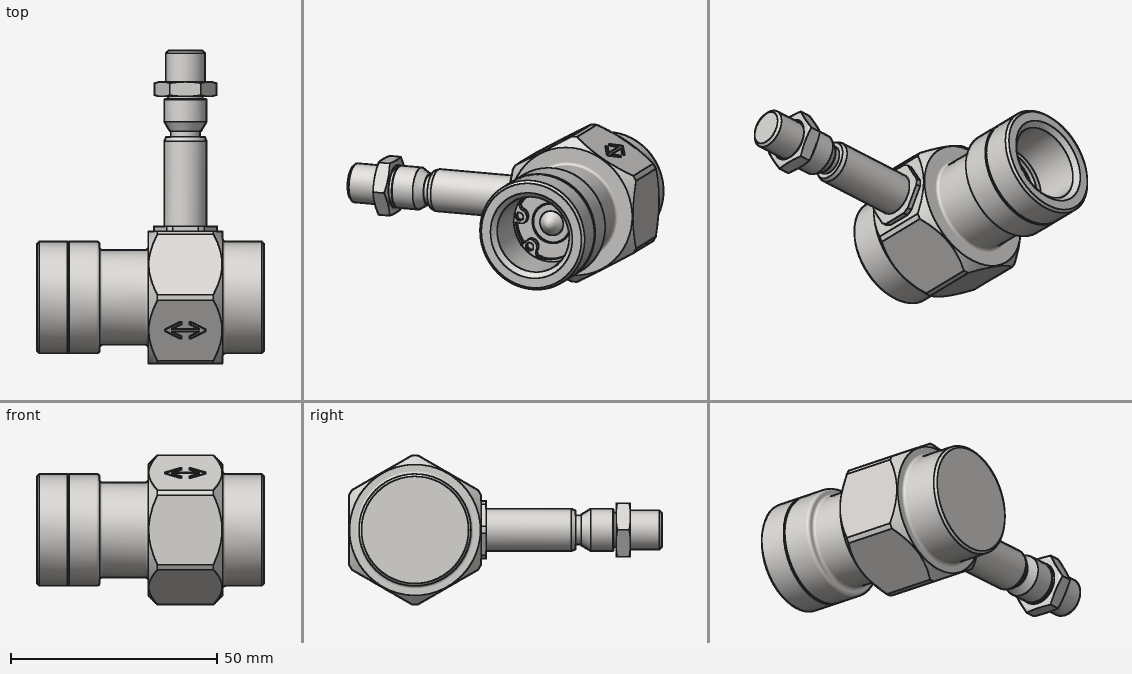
import cadquery as cq
import math


HEX_ACROSS_FLATS = 32.0
HEX_TRIM_DIAMETER = 36.2
HEX_LENGTH = 18.05
HEX_FACE_RADIUS = 15.85
COLLAR_RADIUS = 13.6
NECK_RADIUS = 11.5
MOUTH_END = -36.0
COLLAR_BACK = -20.8
BOSS_END = 19.05
END_CHAMFER = 0.6
COLLAR_ROUND = 0.75
ROOT_FILLET = 0.7
GROOVE_CENTRE = -28.4
GROOVE_DEPTH = 0.2

BORE_RADIUS = 9.3
MOUTH_RADIUS = 10.6
MOUTH_DEPTH = 1.2
SEAT_RADIUS = 8.95
SEAT_CHAMFER = BORE_RADIUS - SEAT_RADIUS

ARROW_HALF_LENGTH = 4.6
ARROW_STROKE = 0.7
ARROW_BARB_RUN = 3.4
ARROW_BARB_RISE = 2.0
ARROW_DEPTH = 0.2

RING_FRONT = -23.45
RING_THICKNESS = 1.2
RING_RADIUS = 9.9
RING_INNER_RADIUS = 8.6
RING_OFFSET = 0.7
RING_GAP_DIRECTION = -20.0
GAP_HALF_ANGLE = 20.0
LUG_ANGLE = 29.0
LUG_HOLE_PLACE = 8.0
LUG_HOLE_RADIUS = 1.0
LUG_RADIUS = 1.9
LUG_EDGE_DISTANCE = 1.6
LUG_FILLET = 1.15

DISC_THICKNESS = 4.55
POPPET_RADIUS = 4.8
DISC_HOLE_CHAMFER = 0.2
CONE_BASE_RADIUS = 3.0
CONE_TIP_RADIUS = 1.3
CONE_LENGTH = 1.75
DOME_HEIGHT = 0.5

LOCK_NUT_ACROSS_FLATS = 14.0
LOCK_NUT_TRIM_DIAMETER = 15.3
LOCK_NUT_THICKNESS = 1.2

NIPPLE_RADIUS = 5.15
NIPPLE_GROOVE_RADIUS = 3.6
NIPPLE_CONE_RADIUS = 3.8
NIPPLE_NECK_RADIUS = 4.25
NIPPLE_TIP_RADIUS = 4.8
BARREL_TOP = 38.9
BARREL_TAPER_LENGTH = 1.1
BARREL_TAPER_DEPTH = 0.45
CONE_BOTTOM = 40.3
SHOULDER_BOTTOM = 42.6
SHOULDER_TOP = 48.1
SHOULDER_CHAMFER = 0.2
TIP_CHAMFER = 0.7

TIP_NUT_BOTTOM = 48.7
TIP_NUT_TOP = 52.2
TIP_NUT_ACROSS_FLATS = 13.05
TIP_NUT_CHAMFER = 0.3
TIP_NUT_COUNTERSINK = 0.45

HOUSING_FLAT = HEX_ACROSS_FLATS / 2
NIPPLE_TOP = 75.9 - HOUSING_FLAT
RING_BACK = RING_FRONT + RING_THICKNESS
DISC_BACK = RING_BACK + DISC_THICKNESS

ARC_INSET = 1 - math.sqrt(0.5)


def turned_about_x(profile):
    return profile.close().revolve(360, (0, 0, 0), (1, 0, 0))


def turned_about_y(profile):
    return profile.close().revolve(360, (0, 0, 0), (0, 1, 0))


def cylinder_along_x(radius, start, end):
    return cq.Workplane("YZ").workplane(offset=start).circle(radius).extrude(end - start)


def hexagon_along_y(across_flats, bottom, top):
    """Hexagonal prism along Y with two corners on the X axis."""
    corner_diameter = across_flats / math.cos(math.pi / 6)
    return (
        cq.Workplane("XZ", origin=(0, bottom, 0))
        .polygon(6, corner_diameter)
        .extrude(bottom - top)
    )


def make_housing_hexagon():
    """Hexagon with flats facing +Y and -Y, its corners trimmed round and chamfered at both ends."""
    half_length = HEX_LENGTH / 2
    trim_radius = HEX_TRIM_DIAMETER / 2
    chamfer = trim_radius - HEX_FACE_RADIUS
    prism = (
        cq.Workplane("YZ", origin=(-half_length, 0, 0))
        .transformed(rotate=(0, 0, 30))
        .polygon(6, HEX_ACROSS_FLATS / math.cos(math.pi / 6))
        .extrude(HEX_LENGTH)
    )
    envelope = cylinder_along_x(trim_radius, -half_length, half_length).faces("<X or >X").chamfer(chamfer)
    return prism.intersect(envelope)


def make_collar_and_neck():
    hex_face = -HEX_LENGTH / 2
    fillet_top = NECK_RADIUS + ROOT_FILLET
    return turned_about_x(
        cq.Workplane("XY")
        .moveTo(MOUTH_END, 0)
        .lineTo(MOUTH_END, COLLAR_RADIUS - END_CHAMFER)
        .lineTo(MOUTH_END + END_CHAMFER, COLLAR_RADIUS)
        .lineTo(GROOVE_CENTRE - GROOVE_DEPTH, COLLAR_RADIUS)
        .lineTo(GROOVE_CENTRE, COLLAR_RADIUS - GROOVE_DEPTH)
        .lineTo(GROOVE_CENTRE + GROOVE_DEPTH, COLLAR_RADIUS)
        .lineTo(COLLAR_BACK - COLLAR_ROUND, COLLAR_RADIUS)
        .threePointArc(
            (COLLAR_BACK - ARC_INSET * COLLAR_ROUND, COLLAR_RADIUS - ARC_INSET * COLLAR_ROUND),
            (COLLAR_BACK, COLLAR_RADIUS - COLLAR_ROUND),
        )
        .lineTo(COLLAR_BACK, fillet_top)
        .threePointArc(
            (COLLAR_BACK + ARC_INSET * ROOT_FILLET, NECK_RADIUS + ARC_INSET * ROOT_FILLET),
            (COLLAR_BACK + ROOT_FILLET, NECK_RADIUS),
        )
        .lineTo(hex_face - ROOT_FILLET, NECK_RADIUS)
        .threePointArc(
            (hex_face - ARC_INSET * ROOT_FILLET, NECK_RADIUS + ARC_INSET * ROOT_FILLET),
            (hex_face, fillet_top),
        )
        .lineTo(hex_face, 0)
    )


def make_boss():
    hex_face = HEX_LENGTH / 2
    return turned_about_x(
        cq.Workplane("XY")
        .moveTo(hex_face, 0)
        .lineTo(hex_face, COLLAR_RADIUS + ROOT_FILLET)
        .threePointArc(
            (hex_face + ARC_INSET * ROOT_FILLET, COLLAR_RADIUS + ARC_INSET * ROOT_FILLET),
            (hex_face + ROOT_FILLET, COLLAR_RADIUS),
        )
        .lineTo(BOSS_END - END_CHAMFER, COLLAR_RADIUS)
        .lineTo(BOSS_END, COLLAR_RADIUS - END_CHAMFER)
        .lineTo(BOSS_END, 0)
    )


def make_bore():
    """Conical mouth, bore, ring groove and the seat of the guide disc."""
    return turned_about_x(
        cq.Workplane("XY")
        .moveTo(MOUTH_END, 0)
        .lineTo(MOUTH_END, MOUTH_RADIUS)
        .lineTo(MOUTH_END + MOUTH_DEPTH, BORE_RADIUS)
        .lineTo(RING_FRONT, BORE_RADIUS)
        .lineTo(RING_FRONT, RING_RADIUS)
        .lineTo(RING_BACK, RING_RADIUS)
        .lineTo(RING_BACK, BORE_RADIUS)
        .lineTo(RING_BACK + SEAT_CHAMFER, SEAT_RADIUS)
        .lineTo(DISC_BACK, SEAT_RADIUS)
        .lineTo(DISC_BACK, 0)
    )


def make_arrow():
    """Double arrow of round-ended strokes on the flat that faces -Y and +Z."""
    tilt = math.radians(120)
    normal = (0, math.cos(tilt), math.sin(tilt))
    centre = (0, HOUSING_FLAT * normal[1], HOUSING_FLAT * normal[2])
    flat = cq.Workplane(cq.Plane(origin=centre, xDir=(1, 0, 0), normal=normal))
    arrow = flat.slot2D(2 * ARROW_HALF_LENGTH + ARROW_STROKE, ARROW_STROKE).extrude(-ARROW_DEPTH)
    barb_length = math.hypot(ARROW_BARB_RUN, ARROW_BARB_RISE)
    barb_angle = math.degrees(math.atan2(ARROW_BARB_RISE, ARROW_BARB_RUN))
    for end in (-1, 1):
        for side in (-1, 1):
            middle_x = end * (ARROW_HALF_LENGTH - ARROW_BARB_RUN / 2)
            barb = (
                flat.center(middle_x, side * ARROW_BARB_RISE / 2)
                .slot2D(barb_length + ARROW_STROKE, ARROW_STROKE, -end * side * barb_angle)
                .extrude(-ARROW_DEPTH)
            )
            arrow = arrow.union(barb)
    return arrow


def make_housing():
    outside = make_housing_hexagon().union(make_collar_and_neck()).union(make_boss())
    return outside.cut(make_bore()).cut(make_arrow())


def make_retaining_ring():
    """Open ring, thickest opposite its gap, with a drilled lug at each end.

    It is shaped with the gap along +Y and then turned into place.
    """
    plane = cq.Workplane("YZ", origin=(RING_FRONT, 0, 0))
    disc = plane.circle(RING_RADIUS).extrude(RING_THICKNESS)
    opening = plane.center(RING_OFFSET, 0).circle(RING_INNER_RADIUS).extrude(RING_THICKNESS)
    ring = disc.cut(opening)

    lug_y = LUG_HOLE_PLACE * math.cos(math.radians(LUG_ANGLE))
    lug_z = LUG_HOLE_PLACE * math.sin(math.radians(LUG_ANGLE))
    web_length = RING_RADIUS - LUG_HOLE_PLACE
    for side in (-1, 1):
        lug = plane.center(lug_y, side * lug_z).circle(LUG_RADIUS).extrude(RING_THICKNESS)
        web = (
            plane.transformed(rotate=(0, 0, side * LUG_ANGLE))
            .center(LUG_HOLE_PLACE + web_length / 2, -side * LUG_RADIUS / 2)
            .rect(web_length, LUG_RADIUS)
            .extrude(RING_THICKNESS)
        )
        ring = ring.union(lug.union(web).intersect(disc))

    slope = math.tan(math.radians(GAP_HALF_ANGLE))
    apex_y = lug_y - (lug_z - LUG_EDGE_DISTANCE / math.cos(math.radians(GAP_HALF_ANGLE))) / slope
    far_y = 2 * RING_RADIUS
    far_z = (far_y - apex_y) * slope
    gap = (
        plane.moveTo(apex_y, 0)
        .lineTo(far_y, far_z)
        .lineTo(far_y, -far_z)
        .close()
        .extrude(RING_THICKNESS)
    )
    ring = ring.cut(gap)

    corner_angle = math.radians(LUG_ANGLE) + math.asin(LUG_FILLET / RING_INNER_RADIUS)
    corner_y = (RING_INNER_RADIUS + RING_OFFSET) * math.cos(corner_angle)
    corner_z = (RING_INNER_RADIUS + RING_OFFSET) * math.sin(corner_angle)
    for side in (-1, 1):
        corner = (RING_FRONT + RING_THICKNESS / 2, corner_y, side * corner_z)
        ring = ring.edges("|X").edges(cq.selectors.NearestToPointSelector(corner)).fillet(LUG_FILLET)

    holes = (
        plane.pushPoints([(lug_y, lug_z), (lug_y, -lug_z)])
        .circle(LUG_HOLE_RADIUS)
        .extrude(RING_THICKNESS)
    )
    return ring.cut(holes).rotate((0, 0, 0), (1, 0, 0), RING_GAP_DIRECTION)


def make_guide_disc():
    disc = cylinder_along_x(SEAT_RADIUS, RING_BACK, DISC_BACK)
    disc = disc.cut(cylinder_along_x(POPPET_RADIUS, RING_BACK, DISC_BACK))
    hole_edge = cq.selectors.RadiusNthSelector(0)
    return disc.faces("<X").edges(hole_edge).chamfer(DISC_HOLE_CHAMFER)


def make_poppet():
    """Round poppet filling the guide disc, with a cone and domed tip on its front face."""
    cone_end = RING_BACK - CONE_LENGTH
    dome_end = cone_end - DOME_HEIGHT
    dome_radius = (CONE_TIP_RADIUS**2 + DOME_HEIGHT**2) / (2 * DOME_HEIGHT)
    half_angle = math.asin(CONE_TIP_RADIUS / dome_radius) / 2
    dome_middle = (
        dome_end + dome_radius * (1 - math.cos(half_angle)),
        dome_radius * math.sin(half_angle),
    )
    return turned_about_x(
        cq.Workplane("XY")
        .moveTo(DISC_BACK, 0)
        .lineTo(DISC_BACK, POPPET_RADIUS)
        .lineTo(RING_BACK, POPPET_RADIUS)
        .lineTo(RING_BACK, CONE_BASE_RADIUS)
        .lineTo(cone_end, CONE_TIP_RADIUS)
        .threePointArc(dome_middle, (dome_end, 0))
    )


def make_lock_nut():
    """Flat hexagon with corners trimmed round, bored for the nipple."""
    top = HOUSING_FLAT + LOCK_NUT_THICKNESS
    hexagon = hexagon_along_y(LOCK_NUT_ACROSS_FLATS, HOUSING_FLAT, top)
    base = cq.Workplane("XZ", origin=(0, HOUSING_FLAT, 0))
    trimmed_ring = (
        base.circle(LOCK_NUT_TRIM_DIAMETER / 2).circle(NIPPLE_RADIUS).extrude(-LOCK_NUT_THICKNESS)
    )
    return hexagon.intersect(trimmed_ring)


def make_nipple():
    """Barrel, locking groove, cone, shoulder and tip in one turned shape."""
    tip_bottom = TIP_NUT_BOTTOM + TIP_NUT_COUNTERSINK
    return turned_about_y(
        cq.Workplane("XY")
        .moveTo(0, HOUSING_FLAT)
        .lineTo(NIPPLE_RADIUS, HOUSING_FLAT)
        .lineTo(NIPPLE_RADIUS, BARREL_TOP - BARREL_TAPER_LENGTH)
        .lineTo(NIPPLE_RADIUS - BARREL_TAPER_DEPTH, BARREL_TOP)
        .lineTo(NIPPLE_GROOVE_RADIUS, BARREL_TOP)
        .lineTo(NIPPLE_GROOVE_RADIUS, CONE_BOTTOM)
        .lineTo(NIPPLE_CONE_RADIUS, CONE_BOTTOM)
        .lineTo(NIPPLE_RADIUS, SHOULDER_BOTTOM)
        .lineTo(NIPPLE_RADIUS, SHOULDER_TOP - SHOULDER_CHAMFER)
        .lineTo(NIPPLE_RADIUS - SHOULDER_CHAMFER, SHOULDER_TOP)
        .lineTo(NIPPLE_NECK_RADIUS, SHOULDER_TOP)
        .lineTo(NIPPLE_NECK_RADIUS, tip_bottom)
        .lineTo(NIPPLE_TIP_RADIUS, tip_bottom)
        .lineTo(NIPPLE_TIP_RADIUS, NIPPLE_TOP - TIP_CHAMFER)
        .lineTo(NIPPLE_TIP_RADIUS - TIP_CHAMFER, NIPPLE_TOP)
        .lineTo(0, NIPPLE_TOP)
    )


def make_tip_nut():
    """Chamfered hexagon bored for the nipple tip and countersunk at both ends."""
    corner_radius = TIP_NUT_ACROSS_FLATS / 2 / math.cos(math.pi / 6)
    face_radius = TIP_NUT_ACROSS_FLATS / 2
    countersunk_radius = NIPPLE_TIP_RADIUS + TIP_NUT_COUNTERSINK
    envelope = turned_about_y(
        cq.Workplane("XY")
        .moveTo(countersunk_radius, TIP_NUT_BOTTOM)
        .lineTo(face_radius, TIP_NUT_BOTTOM)
        .lineTo(corner_radius, TIP_NUT_BOTTOM + TIP_NUT_CHAMFER)
        .lineTo(corner_radius, TIP_NUT_TOP - TIP_NUT_CHAMFER)
        .lineTo(face_radius, TIP_NUT_TOP)
        .lineTo(countersunk_radius, TIP_NUT_TOP)
        .lineTo(NIPPLE_TIP_RADIUS, TIP_NUT_TOP - TIP_NUT_COUNTERSINK)
        .lineTo(NIPPLE_TIP_RADIUS, TIP_NUT_BOTTOM + TIP_NUT_COUNTERSINK)
    )
    return hexagon_along_y(TIP_NUT_ACROSS_FLATS, TIP_NUT_BOTTOM, TIP_NUT_TOP).intersect(envelope)


housing = make_housing()
retaining_ring = make_retaining_ring()
guide_disc = make_guide_disc()
poppet = make_poppet()
lock_nut = make_lock_nut()
nipple = make_nipple()
tip_nut = make_tip_nut()

result = cq.Compound.makeCompound(
    [
        housing.val(),
        retaining_ring.val(),
        guide_disc.val(),
        poppet.val(),
        lock_nut.val(),
        nipple.val(),
        tip_nut.val(),
    ]
)